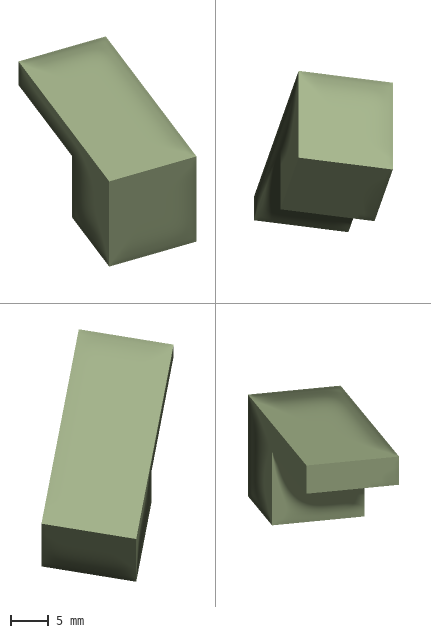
import cadquery as cq

length = 28.4
width = 12.72
height = 14.29

arm_thickness = 3.98
block_length = 11.7

arm = cq.Workplane("XY").box(length, width, arm_thickness, centered=False)
arm = arm.translate((0, 0, height - arm_thickness))

block = cq.Workplane("XY").box(block_length, width, height, centered=False)
block = block.translate((length - block_length, 0, 0))

result = arm.union(block).clean()